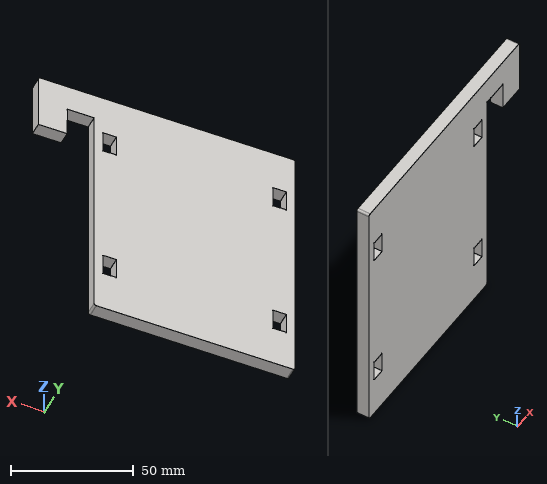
import cadquery as cq

height = 120.0
thickness = 6.0
body_width = 90.0
corner_radius = 1.0

total_width = 115.0
hook_arm = 13.0
hook_finger = 13.0
hook_drop = 27.0

slot_width = 6.0
slot_height = 10.2
slot_side_margin = 4.0
upper_slot_center = 95.0
lower_slot_center = 25.0


def make_plate():
    """Body and hook in the XZ plane, with the lower left corner at the origin."""
    finger_left = total_width - hook_finger
    outline = [
        (0, 0),
        (body_width, 0),
        (body_width, height - hook_arm),
        (finger_left, height - hook_arm),
        (finger_left, height - hook_drop),
        (total_width, height - hook_drop),
        (total_width, height),
        (0, height),
    ]
    return cq.Workplane("XZ").polyline(outline).close().extrude(-thickness)


def round_corners(plate):
    """Round the four outer corners; the fingertip and notch stay sharp."""
    corners = [(0, 0), (body_width, 0), (total_width, height), (0, height)]
    for x, z in corners:
        nearest = cq.selectors.NearestToPointSelector((x, thickness / 2, z))
        plate = plate.edges("|Y").edges(nearest).fillet(corner_radius)
    return plate


def cut_slots(plate):
    """Cut four slots, mirrored about the middle of the body."""
    left = slot_side_margin + slot_width / 2
    right = body_width - left
    centers = [(x, z) for x in (left, right) for z in (lower_slot_center, upper_slot_center)]
    slots = cq.Workplane("XZ").pushPoints(centers).rect(slot_width, slot_height).extrude(-thickness)
    return plate.cut(slots)


result = cut_slots(round_corners(make_plate()))